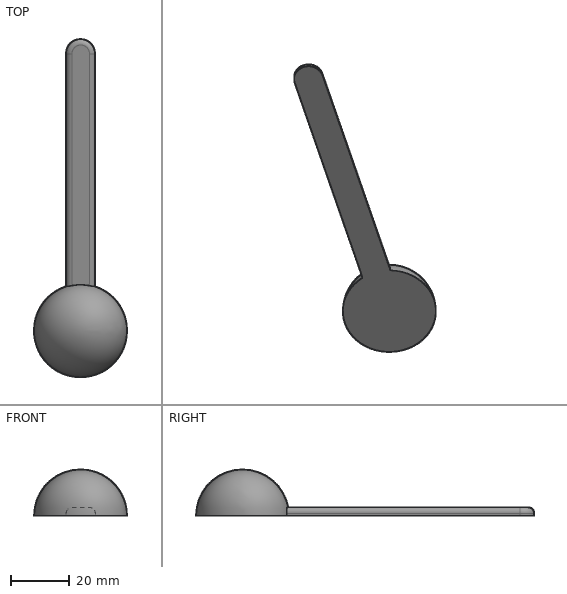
import cadquery as cq

dome_radius = 16.0

handle_reach = 100.0
handle_width = 10.0
handle_thickness = 3.0
top_edge_radius = 2.0

tip_radius = handle_width / 2
tip_center_y = handle_reach - tip_radius


def make_dome():
    """Solid half ball standing on the XY plane, centred on the origin."""
    return (
        cq.Workplane("XZ")
        .moveTo(0, 0)
        .lineTo(dome_radius, 0)
        .radiusArc((0, dome_radius), -dome_radius)
        .close()
        .revolve(360, (0, 0), (0, 1))
    )


def make_handle():
    """Flat bar along +Y with a round tip and a rounded upper rim, starting inside the dome."""
    bar = (
        cq.Workplane("XY")
        .moveTo(-tip_radius, 0)
        .lineTo(tip_radius, 0)
        .lineTo(tip_radius, tip_center_y)
        .threePointArc((0, handle_reach), (-tip_radius, tip_center_y))
        .close()
        .extrude(handle_thickness)
    )
    rim = bar.faces(">Z").edges("not <Y")
    return rim.fillet(top_edge_radius)


result = make_dome().union(make_handle())